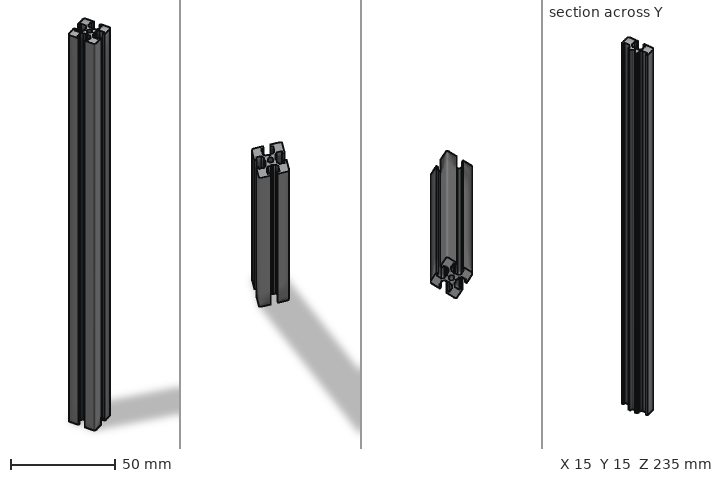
import cadquery as cq

length = 235.0
side = 15.0
corner_radius = 1.05
bore_diameter = 2.5

opening_width = 3.5
lip_thickness = 1.1
cavity_width = 5.9
floor_width = 3.8
core_width = 5.6

groove_width = 1.5
groove_depth = 0.5

half_side = side / 2
half_opening = opening_width / 2
half_cavity = cavity_width / 2
half_floor = floor_width / 2
floor_height = core_width / 2
lip_height = half_side - lip_thickness
slope_height = floor_height + half_cavity - half_floor


def slot_cutter():
    """T-slot open towards +Y, running the full length."""
    right_side = [
        (groove_width / 2, floor_height),
        (half_floor, floor_height),
        (half_cavity, slope_height),
        (half_cavity, lip_height),
        (half_opening, lip_height),
        (half_opening, half_side),
    ]
    left_side = [(-x, y) for x, y in reversed(right_side)]
    groove_bottom = (0, floor_height - groove_depth)
    outline = [groove_bottom] + right_side + left_side
    return cq.Workplane("XY").polyline(outline).close().extrude(length)


bar = cq.Workplane("XY").rect(side, side).extrude(length)
bar = bar.edges("|Z").fillet(corner_radius)

for quarter_turn in range(4):
    bar = bar.cut(slot_cutter().rotate((0, 0, 0), (0, 0, 1), 90 * quarter_turn))

bore = cq.Workplane("XY").circle(bore_diameter / 2).extrude(length)
result = bar.cut(bore)